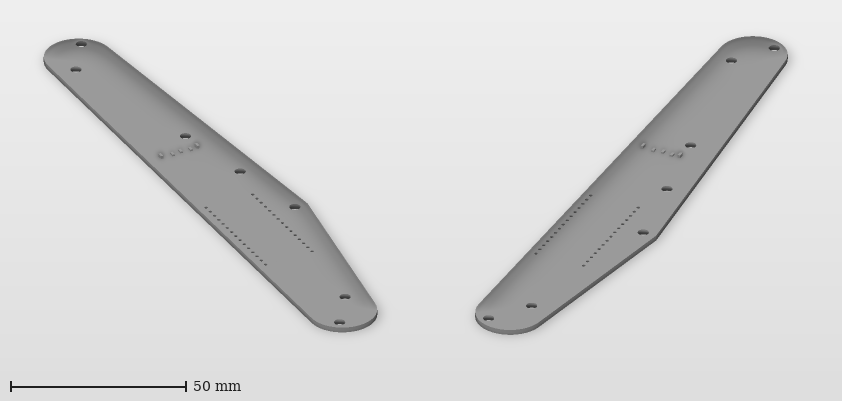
import cadquery as cq
import math

LENGTH = 178.0
PEAK_HEIGHT = 29.0
PEAK_X = 23.0
BOARD_THICKNESS = 1.6
END_RADIUS = 10.0
END_CENTER_X = LENGTH / 2 - END_RADIUS

MOUNT_DIAMETER = 3.2
END_PAIR_SPAN_X = 11.5
END_PAIR_SPAN_Y = 8.0
SLANT_COUNT = 3
SLANT_START_X = -26.2
SLANT_START_Y = 16.0
SLANT_STEP_X = 24.5
SLANT_STEP_Y = 4.5

HEADER_DIAMETER = 1.0
HEADER_COUNT = 15
HEADER_START_X = 11.2
HEADER_LENGTH = 35.6
HEADER_PITCH = HEADER_LENGTH / (HEADER_COUNT - 1)
HEADER_LOWER_Y = 2.5
HEADER_ROW_SPACING = 15.1

CHIP_LENGTH = 1.6
CHIP_WIDTH = 0.8
TALL_CHIP_HEIGHT = 0.9
LOW_CHIP_HEIGHT = 0.5
CHIP_COLUMN_X = -19.2
CHIP_OFFSET_X = 0.4
TALL_CHIP_CENTERS = [
    (CHIP_COLUMN_X, 4.3),
    (CHIP_COLUMN_X, 16.0),
]
LOW_CHIP_CENTERS = [
    (CHIP_COLUMN_X + CHIP_OFFSET_X, 7.8),
    (CHIP_COLUMN_X, 10.7),
    (CHIP_COLUMN_X + CHIP_OFFSET_X, 13.7),
]


def end_tangent_point(side):
    """Point where the line from the peak touches a round end (side is -1 for left, +1 for right)."""
    run = END_CENTER_X - side * PEAK_X
    rise = PEAK_HEIGHT - END_RADIUS
    touch_angle = math.atan2(rise, run) + math.acos(END_RADIUS / math.hypot(run, rise))
    return (
        side * (END_CENTER_X - END_RADIUS * math.cos(touch_angle)),
        END_RADIUS + END_RADIUS * math.sin(touch_angle),
    )


def make_plate():
    return (
        cq.Workplane("XY")
        .moveTo(-END_CENTER_X, 0)
        .lineTo(END_CENTER_X, 0)
        .threePointArc((LENGTH / 2, END_RADIUS), end_tangent_point(1))
        .lineTo(PEAK_X, PEAK_HEIGHT)
        .lineTo(*end_tangent_point(-1))
        .threePointArc((-LENGTH / 2, END_RADIUS), (-END_CENTER_X, 0))
        .close()
        .extrude(BOARD_THICKNESS)
    )


def mount_hole_centers():
    centers = []
    for end_x in (-END_CENTER_X, END_CENTER_X):
        for side in (-1, 1):
            x = end_x + side * END_PAIR_SPAN_X / 2
            y = END_RADIUS - side * END_PAIR_SPAN_Y / 2
            centers.append((x, y))
    for i in range(SLANT_COUNT):
        centers.append((SLANT_START_X + i * SLANT_STEP_X, SLANT_START_Y + i * SLANT_STEP_Y))
    return centers


def header_hole_centers():
    return [
        (HEADER_START_X + i * HEADER_PITCH, row_y)
        for row_y in (HEADER_LOWER_Y, HEADER_LOWER_Y + HEADER_ROW_SPACING)
        for i in range(HEADER_COUNT)
    ]


def make_hole_cutters(centers, diameter):
    """Cylinders through the board's full thickness."""
    return cq.Workplane("XY").pushPoints(centers).circle(diameter / 2).extrude(BOARD_THICKNESS)


def make_board():
    mount_holes = make_hole_cutters(mount_hole_centers(), MOUNT_DIAMETER)
    header_holes = make_hole_cutters(header_hole_centers(), HEADER_DIAMETER)
    return make_plate().cut(mount_holes).cut(header_holes)


def make_chip(center, height):
    """A rectangular chip standing on the board's upper face."""
    return (
        cq.Workplane("XY", origin=(*center, BOARD_THICKNESS))
        .rect(CHIP_LENGTH, CHIP_WIDTH)
        .extrude(height)
        .val()
    )


board = make_board()
tall_chips = [make_chip(center, TALL_CHIP_HEIGHT) for center in TALL_CHIP_CENTERS]
low_chips = [make_chip(center, LOW_CHIP_HEIGHT) for center in LOW_CHIP_CENTERS]

result = cq.Compound.makeCompound([board.val(), *tall_chips, *low_chips])